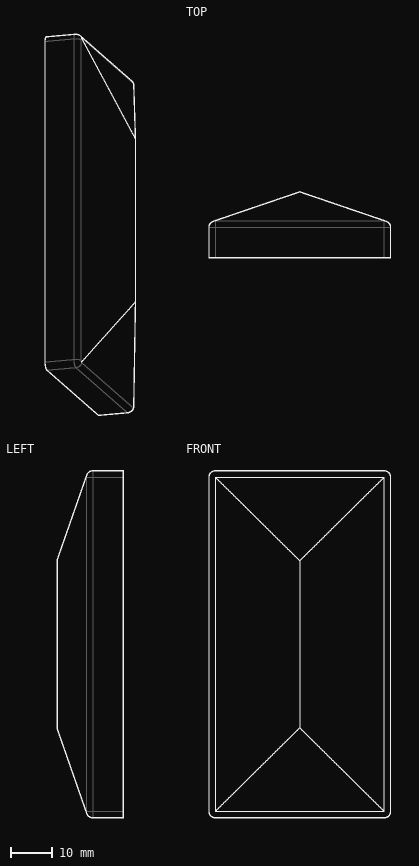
import cadquery as cq

width = 44.0
depth = 16.0
height = 84.0

wall = 1.6
edge_radius = 1.6
eaves_depth = 8.5

outer_ridge_length = 41.0
inner_ridge_length = 40.4

inner_width = width - 2 * wall
inner_height = height - 2 * wall
roof_slope = (depth - eaves_depth) / (width / 2)
inner_ridge_depth = depth - wall
inner_eaves_depth = inner_ridge_depth - roof_slope * inner_width / 2


def hipped_block(size_x, size_z, eaves_y, ridge_y, ridge_length):
    """Solid block from Y = 0 to the eaves, topped by a hipped roof with its ridge along Z."""
    half_x = size_x / 2
    half_z = size_z / 2
    half_ridge = ridge_length / 2
    footprint = [(-half_x, -half_z), (half_x, -half_z), (half_x, half_z), (-half_x, half_z)]
    base = [cq.Vector(x, 0, z) for x, z in footprint]
    eaves = [cq.Vector(x, eaves_y, z) for x, z in footprint]
    ridge_bottom = cq.Vector(0, ridge_y, -half_ridge)
    ridge_top = cq.Vector(0, ridge_y, half_ridge)
    lower_left, lower_right, upper_right, upper_left = eaves

    outlines = [
        base,
        [lower_left, lower_right, ridge_bottom],
        [upper_right, upper_left, ridge_top],
        [lower_right, upper_right, ridge_top, ridge_bottom],
        [upper_left, lower_left, ridge_bottom, ridge_top],
    ]
    for start in range(len(footprint)):
        end = (start + 1) % len(footprint)
        outlines.append([base[start], base[end], eaves[end], eaves[start]])

    faces = [cq.Face.makeFromWires(cq.Wire.makePolygon(outline, close=True)) for outline in outlines]
    return cq.Workplane(obj=cq.Solid.makeSolid(cq.Shell.makeShell(faces)))


def outer_body():
    """Hipped block with its upright corners and its eaves rounded in one blend."""
    block = hipped_block(width, height, eaves_depth, depth, outer_ridge_length)
    corners_and_eaves = block.faces("#Y").edges("not <Y")
    return corners_and_eaves.fillet(edge_radius)


def cavity():
    """Sharp-cornered hollow that follows the outside shape."""
    return hipped_block(inner_width, inner_height, inner_eaves_depth, inner_ridge_depth, inner_ridge_length)


result = outer_body().cut(cavity())